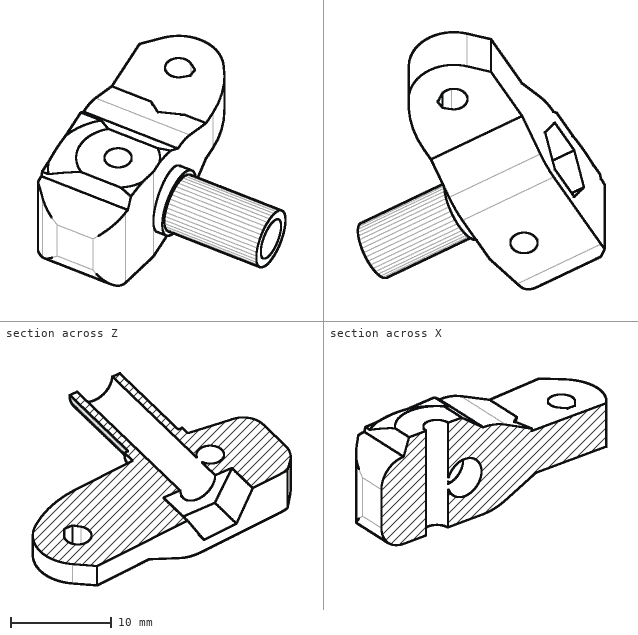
import cadquery as cq
import math


tongue_half_height = 2.5
tongue_end_y = 8.97
eye_x = -3.0
eye_y = 14.48
eye_radius = 4.5
eye_hole_diameter = 2.7
eye_hole_flat = 1.55
eye_hole_upper_tangent = 54.0
eye_hole_lower_tangent = -47.0
shoulder_angle = 34.5
tail_corner_x = -8.05
tail_corner_y = 15.55

body_thickness = 10.0
body_half_height = body_thickness / 2
wall_angle = 4.0
wall_top_y = 10.55
part_length = 29.5
tail_y = eye_y + eye_radius
nose_y = tail_y - part_length
nose_round = 2.8
nose_side_round = 2.4
nose_corner_round = 3.1
nose_corner_y = -8.5
nose_flat_start_x = -3.07
nose_wall_angle = 8.0
ramp_top_y = 3.78
ramp_round = 6.5

boss_y = -3.48
boss_wall_x = 4.05
part_height = 12.0
boss_top_z = part_height - body_half_height
boss_base_z = 5.5
boss_base_radius = 7.0
boss_top_radius = 4.2
boss_hole_diameter = 2.7
boss_rear_top_y = -0.38
boss_front_top_y = -7.02

relief_left_x = -3.1
relief_tip_x = -1.45
relief_right_x = 0.7
relief_depth = 1.62

collar_diameter = 7.0
collar_end_x = 5.05
stud_diameter = 6.08
part_width = 23.57
stud_end_x = tail_corner_x + part_width
stud_flats = 40
bore_diameter = 4.2
nut_across_flats = 7.1
nut_floor_x = -2.95

slant = math.tan(math.radians(wall_angle))
nose_slant = math.tan(math.radians(nose_wall_angle))
ramp_angle = math.atan((body_half_height - tongue_half_height) / (tongue_end_y - ramp_top_y))
ramp_round_end_y = ramp_top_y - ramp_round * math.tan(ramp_angle / 2)


def left_wall_x(y):
    return tail_corner_x + (tail_corner_y - y) * slant


def right_wall_x(y):
    """X of the right wall, which leans out down to the boss and back in beyond it."""
    if y >= boss_y:
        return boss_wall_x - (y - boss_y) * slant
    return boss_wall_x - (boss_y - y) * nose_slant


def eye_point(angle):
    a = math.radians(angle)
    return (eye_x + eye_radius * math.cos(a), eye_y + eye_radius * math.sin(a))


def plan_prism():
    """Plan outline in XY, as a prism of the full height."""
    to_corner_x = tail_corner_x - eye_x
    to_corner_y = tail_corner_y - eye_y
    corner_distance = math.hypot(to_corner_x, to_corner_y)
    corner_angle = math.degrees(math.atan2(to_corner_y, to_corner_x)) % 360
    tangent_angle = corner_angle - math.degrees(math.acos(eye_radius / corner_distance))

    diagonal = math.sqrt(0.5)
    round_start = (
        nose_flat_start_x - nose_corner_round * diagonal,
        nose_y + nose_corner_round * (1 - diagonal),
    )
    side_y = nose_y + nose_side_round
    side_x = right_wall_x(side_y)
    nose_flat_end_x = side_x - nose_side_round
    side_mid = (nose_flat_end_x + nose_side_round * diagonal, side_y - nose_side_round * diagonal)

    return (
        cq.Workplane("XY", origin=(0, 0, -body_half_height))
        .moveTo(nose_flat_end_x, nose_y)
        .threePointArc(side_mid, (side_x, side_y))
        .lineTo(boss_wall_x, boss_y)
        .lineTo(right_wall_x(wall_top_y), wall_top_y)
        .tangentArcPoint(eye_point(shoulder_angle), relative=False)
        .threePointArc(eye_point(90), eye_point(tangent_angle))
        .lineTo(tail_corner_x, tail_corner_y)
        .lineTo(left_wall_x(nose_corner_y), nose_corner_y)
        .lineTo(*round_start)
        .tangentArcPoint((nose_flat_start_x, nose_y), relative=False)
        .close()
        .extrude(part_height)
    )


def extrude_profile(points):
    """Prism along X, wide enough to cover the body, from (Y, Z) points."""
    margin = 2.95
    start_x = tail_corner_x - margin
    width = boss_wall_x + margin - start_x
    return cq.Workplane("YZ", origin=(start_x, 0, 0)).polyline(points).close().extrude(width)


def side_prism():
    """Side outline in YZ: nose, body, ramps and tongue."""
    prism = extrude_profile([
        (nose_y, -body_half_height),
        (ramp_top_y, -body_half_height),
        (tongue_end_y, -tongue_half_height),
        (tail_y, -tongue_half_height),
        (tail_y, tongue_half_height),
        (tongue_end_y, tongue_half_height),
        (ramp_top_y, body_half_height),
        (nose_y, body_half_height),
    ])
    for z in (-body_half_height, body_half_height):
        ramp_edge = cq.selectors.NearestToPointSelector((0, ramp_top_y, z))
        prism = prism.edges("|X").edges(ramp_edge).fillet(ramp_round)
    nose_edges = prism.faces("<Y").edges("|X")
    return nose_edges.fillet(nose_round)


def boss_prism():
    """Boss between its two sloping faces, turned to a cone above its base."""
    block = extrude_profile([
        (nose_y + nose_round, 0),
        (nose_y + nose_round, body_half_height),
        (boss_front_top_y, boss_top_z),
        (boss_rear_top_y, boss_top_z),
        (ramp_round_end_y, body_half_height),
        (ramp_round_end_y, 0),
    ])
    base_size = 4 * boss_base_radius
    base = cq.Workplane("XY").box(base_size, base_size, boss_base_z, centered=(True, True, False))
    cone = cq.Workplane(cq.Solid.makeCone(
        boss_base_radius, boss_top_radius, boss_top_z - boss_base_z,
        pnt=cq.Vector(0, boss_y, boss_base_z), dir=cq.Vector(0, 0, 1),
    ))
    return block.intersect(base.union(cone))


def relief():
    return (
        cq.Workplane("XY", origin=(0, 0, tongue_half_height))
        .polyline([
            (relief_left_x, tongue_end_y),
            (relief_tip_x, tongue_end_y - relief_depth),
            (relief_right_x, tongue_end_y),
        ])
        .close()
        .extrude(body_half_height)
    )


def eye_hole():
    """Round hole with a blunt point towards +X, its two sides tangent to the round."""
    radius = eye_hole_diameter / 2
    upper = math.radians(eye_hole_upper_tangent)
    lower = math.radians(eye_hole_lower_tangent)
    upper_flat_y = (radius - eye_hole_flat * math.cos(upper)) / math.sin(upper)
    lower_flat_y = (radius - eye_hole_flat * math.cos(lower)) / math.sin(lower)
    return (
        cq.Workplane("XY", origin=(eye_x, eye_y, -body_half_height))
        .moveTo(radius * math.cos(upper), radius * math.sin(upper))
        .threePointArc((-radius, 0), (radius * math.cos(lower), radius * math.sin(lower)))
        .lineTo(eye_hole_flat, lower_flat_y)
        .lineTo(eye_hole_flat, upper_flat_y)
        .close()
        .extrude(part_height)
    )


def boss_hole():
    hole = cq.Workplane("XY", origin=(0, boss_y, -body_half_height))
    return hole.circle(boss_hole_diameter / 2).extrude(part_height)


def stud():
    """Collar and many-sided stud, with flats facing +Y and -Y."""
    collar = cq.Workplane("YZ").circle(collar_diameter / 2).extrude(collar_end_x)
    half_flat = 180 / stud_flats
    shank = (
        cq.Workplane("YZ")
        .transformed(rotate=(0, 0, half_flat))
        .polygon(stud_flats, stud_diameter)
        .extrude(stud_end_x)
    )
    return collar.union(shank)


def cross_bore():
    bore_start = cq.Workplane("YZ", origin=(tail_corner_x, 0, 0))
    bore = bore_start.circle(bore_diameter / 2).extrude(part_width)
    nut_across_corners = nut_across_flats / math.cos(math.pi / 6)
    nut_pocket = bore_start.polygon(6, nut_across_corners).extrude(nut_floor_x - tail_corner_x)
    return bore.union(nut_pocket)


body = side_prism().union(boss_prism()).intersect(plan_prism())
result = (
    body.union(stud())
    .cut(relief())
    .cut(eye_hole())
    .cut(boss_hole())
    .cut(cross_bore())
)